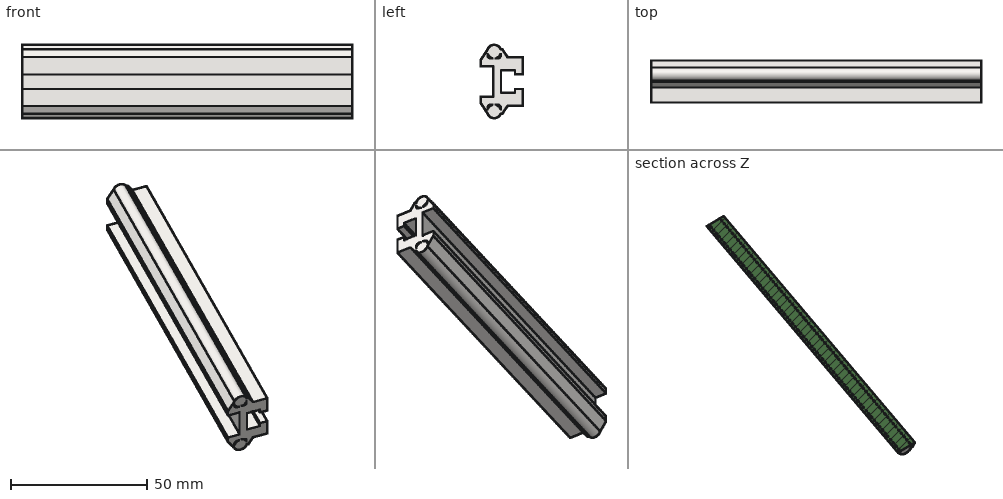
import cadquery as cq
import math

length = 121.0
height = 27.0
front_y = -10.5
back_y = 5.0

web_front_y = -2.5
web_back_y = 0.4
back_slot_half_height = 5.6
back_edge_z = 7.9
flange_top_z = 9.0
slope_angle = math.radians(57)

slot_half_height = 4.1
mouth_half_height = 2.7
lip_y = -7.6

rod_radius = 2.5
rod_z = height / 2 - rod_radius
side_overlap = 0.1
floor_overlap = 0.06
groove_half_width = rod_radius - side_overlap
groove_floor_z = rod_z - rod_radius + floor_overlap
groove_corner_radius = 1.3

shoulder_z = 11.9
shoulder_y = -3.0
shoulder_foot_y = shoulder_y - (shoulder_z - flange_top_z) / math.tan(slope_angle)
back_slope_top_z = back_edge_z + (back_y - groove_half_width) * math.tan(slope_angle)


def extrude_along_x(outline):
    return outline.extrude(length / 2, both=True)


def make_upper_rail():
    """Upper half of the rail, with a round-cornered groove open at the top."""
    groove_side_z = groove_floor_z + groove_corner_radius
    groove_flat_y = groove_half_width - groove_corner_radius
    outline = (
        cq.Workplane("YZ")
        .moveTo(web_back_y, 0)
        .lineTo(web_back_y, back_slot_half_height)
        .lineTo(back_y, back_slot_half_height)
        .lineTo(back_y, back_edge_z)
        .lineTo(groove_half_width, back_slope_top_z)
        .lineTo(groove_half_width, groove_side_z)
        .radiusArc((groove_flat_y, groove_floor_z), groove_corner_radius)
        .lineTo(-groove_flat_y, groove_floor_z)
        .radiusArc((-groove_half_width, groove_side_z), groove_corner_radius)
        .lineTo(-groove_half_width, shoulder_z)
        .lineTo(shoulder_y, shoulder_z)
        .lineTo(shoulder_foot_y, flange_top_z)
        .lineTo(front_y, flange_top_z)
        .lineTo(front_y, mouth_half_height)
        .lineTo(lip_y, mouth_half_height)
        .lineTo(lip_y, slot_half_height)
        .lineTo(web_front_y, slot_half_height)
        .lineTo(web_front_y, 0)
        .close()
    )
    return extrude_along_x(outline)


def make_upper_rod():
    return extrude_along_x(cq.Workplane("YZ").center(0, rod_z).circle(rod_radius))


upper_half = make_upper_rail().union(make_upper_rod())
result = upper_half.union(upper_half.mirror("XY")).clean()